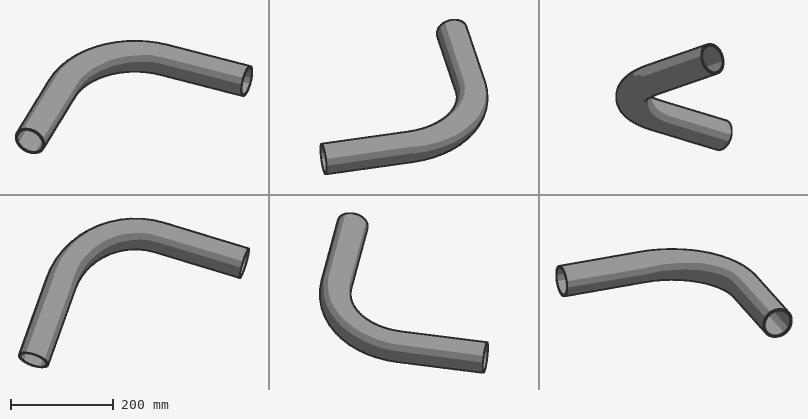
import cadquery as cq

length_x = 355.0
length_y = 352.3
outer_diameter = 60.5
wall = 3.5
bend_radius = 152.0

outer_radius = outer_diameter / 2
inner_radius = outer_radius - wall
bend_reach = bend_radius + outer_radius
leg_x = length_x - bend_reach
leg_y = length_y - bend_reach


def tube_section(plane, origin=(0, 0, 0)):
    """Ring-shaped tube section, ready to extrude or revolve."""
    return cq.Workplane(plane, origin=origin).circle(outer_radius).circle(inner_radius)


def straight_y_leg():
    """Tube running from the start of the bend towards -Y."""
    return tube_section("XZ").extrude(leg_y)


def quarter_bend():
    """Tube turning from +Y to +X about a vertical axis."""
    return tube_section("XZ").revolve(90, (bend_radius, 0, 0), (bend_radius, -1, 0))


def straight_x_leg():
    """Tube running from the end of the bend towards +X."""
    bend_end = (bend_radius, bend_radius, 0)
    return tube_section("YZ", bend_end).extrude(leg_x)


result = straight_y_leg().union(quarter_bend()).union(straight_x_leg())